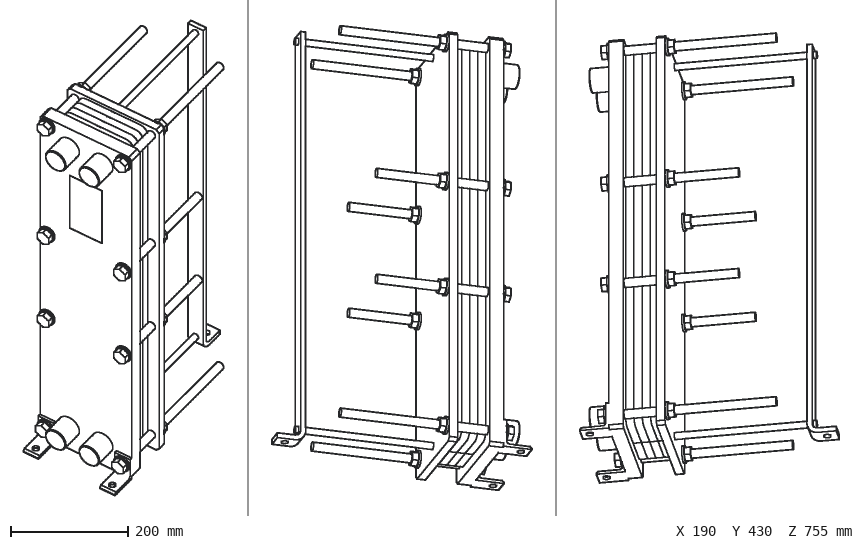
import cadquery as cq
import math


plate_width = 190.0
plate_height = 755.0
corner_chamfer = 6.0
frame_thickness = 25.0
pressure_thickness = 15.0

pack_count = 4
channel_thickness = 14.0
pack_width = 143.0
bar_cover = 0.4
pack_corner_radius = 16.0

pack_start = frame_thickness
pressure_start = pack_start + pack_count * channel_thickness
pressure_end = pressure_start + pressure_thickness

bolt_diameter = 16.0
bolt_x = 79.0
bottom_bolt_z = 32.5
top_bolt_z = 738.5
middle_bolt_zs = (288.0, 483.0)
long_bolt_end = 288.0
short_bolt_end = 223.0
washer_diameter = 30.0
washer_thickness = 4.0
hex_across_flats = 23.5
hex_height = 10.5
hex_corner_diameter = hex_across_flats / math.cos(math.pi / 6)

nozzle_diameter = 42.0
nozzle_length = 41.5
nozzle_chamfer = 1.5
nozzle_x = 35.0
nozzle_zs = (53.0, 710.5)

label_width = 67.0
label_height = 124.0
label_top = 645.5
label_thickness = 0.4

foot_width = 32.0
foot_thickness = 5.0
foot_height = 49.0
foot_length = 50.5
foot_bend_radius = 5.0
foot_tip_chamfer = 4.0
foot_hole_setback = 15.0
mounting_hole_diameter = 12.0

total_depth = 430.0
column_width = 32.0
column_thickness = 9.0
column_front = 329.0
column_bend_radius = 10.0
column_hole_setback = 18.0
bar_diameter = 12.0
bar_zs = (26.0, 742.0)
bar_end = 343.5

pack_bottom = bar_zs[0] - bar_diameter / 2 - bar_cover
pack_top = bar_zs[1] + bar_diameter / 2 + bar_cover
column_back = column_front + column_thickness
column_foot_tip = total_depth - foot_length

bolts = []
for side_x in (-bolt_x, bolt_x):
    bolts.append((side_x, bottom_bolt_z, long_bolt_end, -foot_thickness))
    for middle_z in middle_bolt_zs:
        bolts.append((side_x, middle_z, short_bolt_end, 0.0))
    bolts.append((side_x, top_bolt_z, long_bolt_end, 0.0))


def rod(x, z, y_start, y_end, diameter):
    """Round rod along Y."""
    return cq.Workplane("XZ", origin=(x, y_start, z)).circle(diameter / 2).extrude(y_start - y_end)


def hexagon(x, z, y_start, y_end):
    """Hexagonal nut or bolt head along Y with corners pointing up and down."""
    return (
        cq.Workplane("XZ", origin=(x, y_start, z))
        .transformed(rotate=(0, 0, 90))
        .polygon(6, hex_corner_diameter)
        .extrude(y_start - y_end)
    )


def block(x_size, y_start, y_end, z_start, z_end):
    """Box centred on X = 0 between the given Y and Z limits."""
    return (
        cq.Workplane("XY", origin=(0, y_start, z_start))
        .box(x_size, y_end - y_start, z_end - z_start, centered=(True, False, False))
    )


def end_plate(y_start, y_end):
    """Full size plate with chamfered corners."""
    return block(plate_width, y_start, y_end, 0, plate_height).edges("|Y").chamfer(corner_chamfer)


def bolt(x, z, y_end, head_seat):
    """Bolt with its front washer and head and its rear washer and nut."""
    head_start = head_seat - washer_thickness
    nut_start = pressure_end + washer_thickness
    body = rod(x, z, head_start, y_end, bolt_diameter)
    body = body.union(rod(x, z, head_start, head_seat, washer_diameter))
    body = body.union(hexagon(x, z, head_start - hex_height, head_start))
    body = body.union(rod(x, z, pressure_end, nut_start, washer_diameter))
    return body.union(hexagon(x, z, nut_start, nut_start + hex_height))


def foot(x):
    """Bent angle bracket with a mounting hole, standing against the frame plate."""
    hole_y = foot_hole_setback - foot_length
    bracket = (
        cq.Workplane("YZ", origin=(x - foot_width / 2, 0, 0))
        .polyline([
            (0, 0),
            (-foot_length, 0),
            (-foot_length, foot_thickness),
            (-foot_thickness, foot_thickness),
            (-foot_thickness, foot_height),
            (0, foot_height),
        ])
        .close()
        .extrude(foot_width)
    )
    inner_corner = cq.selectors.NearestToPointSelector((x, -foot_thickness, foot_thickness))
    tip_edge = cq.selectors.NearestToPointSelector((x, -foot_length, foot_thickness))
    bracket = bracket.edges(inner_corner).fillet(foot_bend_radius)
    bracket = bracket.edges(tip_edge).chamfer(foot_tip_chamfer)
    hole = cq.Workplane("XY", origin=(x, hole_y, 0)).circle(mounting_hole_diameter / 2).extrude(foot_thickness)
    return bracket.cut(hole)


def nozzle(x, z):
    """Connection stub with a lightly chamfered front rim."""
    return rod(x, z, -nozzle_length, 0, nozzle_diameter).faces("<Y").chamfer(nozzle_chamfer)


def make_frame():
    """Frame plate with nozzles, name plate, feet and the tightening bolts."""
    body = end_plate(0, frame_thickness)
    body = body.union(block(label_width, -label_thickness, 0, label_top - label_height, label_top))
    for side in (-1, 1):
        for z in nozzle_zs:
            body = body.union(nozzle(side * nozzle_x, z))
        body = body.union(foot(side * bolt_x))
    for x, z, y_end, head_seat in bolts:
        body = body.union(bolt(x, z, y_end, head_seat))
    return body


def make_pressure_plate():
    """Movable plate with close-fitting holes for the bolts and guide bars."""
    body = end_plate(pressure_start, pressure_end)
    for x, z, _, _ in bolts:
        body = body.cut(rod(x, z, pressure_start, pressure_end, bolt_diameter))
    for z in bar_zs:
        body = body.cut(rod(0, z, pressure_start, pressure_end, bar_diameter))
    return body


def make_channel_plate(index):
    """One plate of the pack, pierced near its top and bottom by the guide bars."""
    y_start = pack_start + index * channel_thickness
    y_end = y_start + channel_thickness
    body = block(pack_width, y_start, y_end, pack_bottom, pack_top).edges("|Y").fillet(pack_corner_radius)
    for z in bar_zs:
        body = body.cut(rod(0, z, y_start, y_end, bar_diameter))
    return body


def make_support():
    """Rear column bent into a foot, carrying both guide bars."""
    hole_y = column_foot_tip - column_hole_setback
    outer_bend_radius = column_bend_radius + column_thickness
    body = (
        cq.Workplane("YZ", origin=(-column_width / 2, 0, 0))
        .moveTo(column_foot_tip, 0)
        .lineTo(column_front + outer_bend_radius, 0)
        .radiusArc((column_front, outer_bend_radius), outer_bend_radius)
        .lineTo(column_front, plate_height)
        .lineTo(column_back, plate_height)
        .lineTo(column_back, outer_bend_radius)
        .radiusArc((column_front + outer_bend_radius, column_thickness), -column_bend_radius)
        .lineTo(column_foot_tip, column_thickness)
        .close()
        .extrude(column_width)
    )
    hole = cq.Workplane("XY", origin=(0, hole_y, 0)).circle(mounting_hole_diameter / 2).extrude(column_thickness)
    body = body.cut(hole)
    for z in bar_zs:
        body = body.union(rod(0, z, frame_thickness, bar_end, bar_diameter))
    return body


frame = make_frame()
pressure_plate = make_pressure_plate()
channel_plates = [make_channel_plate(index) for index in range(pack_count)]
support = make_support()

result = cq.Compound.makeCompound([
    frame.val(),
    pressure_plate.val(),
    *[plate.val() for plate in channel_plates],
    support.val(),
])